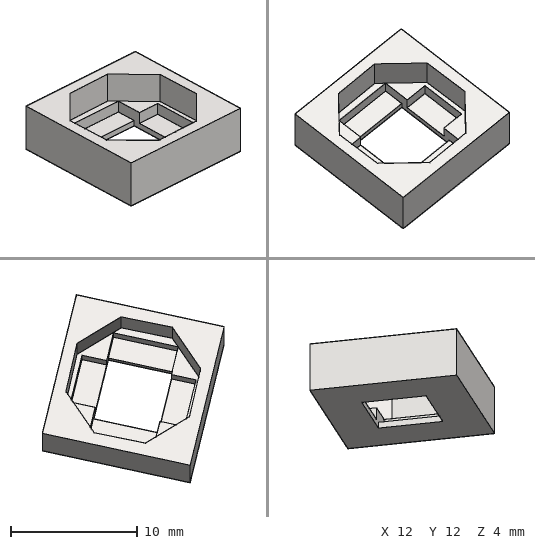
import cadquery as cq
import math

block_side = 12.0
block_height = 4.0

recess_across_flats = 10.0
recess_depth = 2.5
recess_sides = 8
recess_twist = 0.7

opening_side = 5.25

pocket_depth = 1.0
x_pocket_length = 8.85
x_pocket_width = opening_side
y_pocket_length = 9.25
y_pocket_width = 4.05

recess_floor_z = block_height - recess_depth
pocket_floor_z = recess_floor_z - pocket_depth


def box_on(floor_z, size_x, size_y, height):
    """Box centred on the Z axis, standing on the given level."""
    return cq.Workplane("XY", origin=(0, 0, floor_z)).rect(size_x, size_y).extrude(height)


def octagonal_recess():
    """Octagonal prism with its flats facing X and Y before the twist."""
    half_step = 180.0 / recess_sides
    corner_diameter = recess_across_flats / math.cos(math.radians(half_step))
    prism = (
        cq.Workplane("XY", origin=(0, 0, recess_floor_z))
        .polygon(recess_sides, corner_diameter)
        .extrude(recess_depth)
    )
    return prism.rotate((0, 0, 0), (0, 0, 1), half_step + recess_twist)


block = box_on(0, block_side, block_side, block_height)
x_pocket = box_on(pocket_floor_z, x_pocket_length, x_pocket_width, pocket_depth)
y_pocket = box_on(pocket_floor_z, y_pocket_width, y_pocket_length, pocket_depth)
opening = box_on(0, opening_side, opening_side, block_height)

result = block.cut(octagonal_recess()).cut(x_pocket).cut(y_pocket).cut(opening)